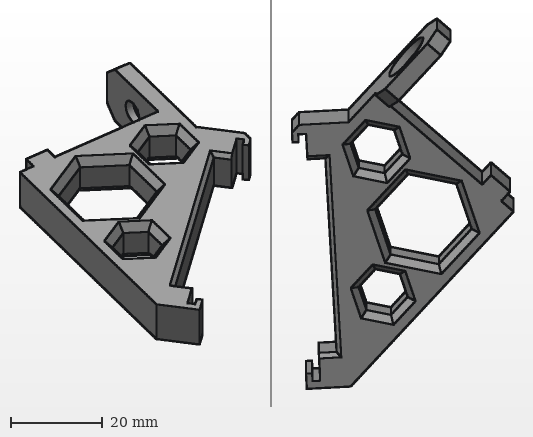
import cadquery as cq
import math

length = 80.0
depth = 47.9
thickness = 10.0

tab_length = 20.0
tab_height = 14.7
tab_thickness = 4.0
tab_back = 40.3
tab_clip = 3.1
hole_diameter = 5.3
counterbore_diameter = 11.0
counterbore_depth = 2.0

lug_reach = 2.9
lug_bottom = 3.6
lug_top = 9.2

middle_offset = 31.2 / math.sqrt(2)
recess_out = 53.4
recess_half = 23.0
seat_out = 58.3
seat_half = 28.0
lip_inner_out = 60.0
lip_outer_out = 61.4
lip_half = 26.2
upper_end_half = 30.2
recess_chamfer = 1.0

windows = [
    (29.8, 31.4, 7.5),
    (34.8, 13.1, 12.5),
    (53.0, 8.6, 7.2),
]
window_inset = 1.8
window_chamfer_depth = 2.0


def diagonal_point(along, out):
    """Convert a position on the diagonal edge to X and Y."""
    x_minus_y = math.sqrt(2) * (along + middle_offset)
    x_plus_y = math.sqrt(2) * out
    return ((x_plus_y + x_minus_y) / 2, (x_plus_y - x_minus_y) / 2)


def hook(side):
    """Seat and hooked lip at one end of the diagonal, from the seat corner to the lip tip."""
    local_points = [
        (recess_half, seat_out),
        (seat_half, seat_out),
        (seat_half, lip_inner_out),
        (lip_half, lip_inner_out),
        (lip_half, lip_outer_out),
    ]
    return [diagonal_point(side * along, out) for along, out in local_points]


def make_plate():
    lip_sum = math.sqrt(2) * lip_outer_out
    end_difference = math.sqrt(2) * (middle_offset - upper_end_half)
    right_tip_y = lip_sum - length
    outline = [
        (tab_length, 0),
        (length - right_tip_y, 0),
        (length, right_tip_y),
        *reversed(hook(1)),
        *hook(-1),
        (lip_sum - depth, depth),
        (depth + end_difference, depth),
        (tab_back + end_difference, tab_back),
        (tab_length, tab_back),
    ]
    return cq.Workplane("XY").polyline(outline).close().extrude(thickness)


def make_tab():
    bottom = thickness - tab_height
    return (
        cq.Workplane("XY")
        .box(tab_length, tab_thickness, tab_height, centered=False)
        .edges("|Y and (<X or <Z)")
        .chamfer(tab_clip)
        .translate((0, tab_back - tab_thickness, bottom))
    )


def make_tab_hole():
    centre_z = thickness - tab_height / 2
    back_face = cq.Workplane("XZ", origin=(tab_length / 2, tab_back, centre_z))
    hole = back_face.circle(hole_diameter / 2).extrude(tab_thickness)
    counterbore = back_face.circle(counterbore_diameter / 2).extrude(counterbore_depth)
    return hole.union(counterbore)


def make_lug():
    return (
        cq.Workplane("XY", origin=(tab_length - lug_reach, lug_bottom, 0))
        .box(lug_reach, lug_top - lug_bottom, thickness, centered=False)
    )


def make_recess():
    """Straight recess between the seats, narrowed by a chamfer at both plate faces."""
    def section(narrowing):
        half = recess_half - narrowing
        floor = recess_out + narrowing
        corners = [(-half, floor), (half, floor), (half, seat_out), (-half, seat_out)]
        return [diagonal_point(along, out) for along, out in corners]

    def flare(base_z, direction):
        return (
            cq.Workplane("XY", origin=(0, 0, base_z))
            .polyline(section(0)).close()
            .workplane(offset=direction * recess_chamfer)
            .polyline(section(recess_chamfer)).close()
            .loft(ruled=True)
        )

    core = cq.Workplane("XY").polyline(section(recess_chamfer)).close().extrude(thickness)
    return core.union(flare(0, 1)).union(flare(thickness, -1))


def make_window(x, y, radius):
    """Hexagonal opening that flares out at both plate faces."""
    face_diameter = 2 * radius
    throat_diameter = face_diameter - 2 * window_inset

    def flare(base_z, direction):
        return (
            cq.Workplane("XY", origin=(x, y, base_z))
            .polygon(6, face_diameter)
            .workplane(offset=direction * window_chamfer_depth)
            .polygon(6, throat_diameter)
            .loft(ruled=True)
        )

    throat = cq.Workplane("XY", origin=(x, y, 0)).polygon(6, throat_diameter).extrude(thickness)
    return throat.union(flare(0, 1)).union(flare(thickness, -1))


result = make_plate().union(make_tab()).union(make_lug())
result = result.cut(make_tab_hole()).cut(make_recess())
for window in windows:
    result = result.cut(make_window(*window))